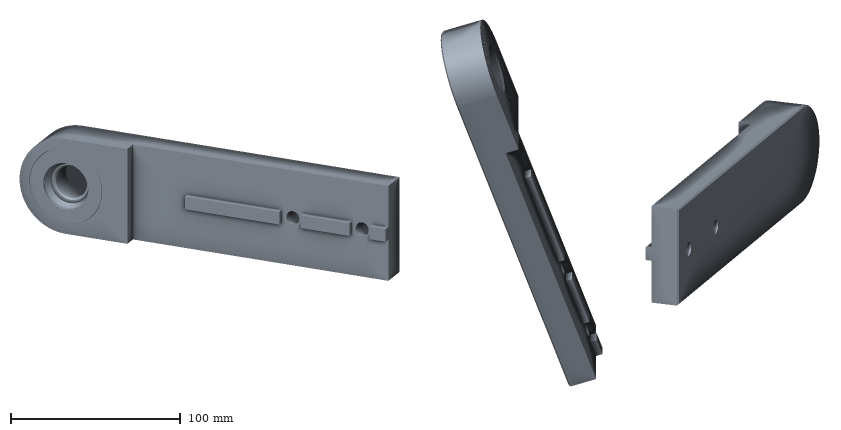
import cadquery as cq

length = 235.0
height = 60.0
head_depth = 25.0
blade_depth = 17.0
head_length = 69.8
back_chamfer = 1.0

end_radius = height / 2
tip_x = -end_radius
tail_x = tip_x + length
step_x = tip_x + head_length
step_y = head_depth - blade_depth

floor_depth = 22.5
socket_diameter = 47.0
sleeve_clearance = 0.2
sleeve_diameter = socket_diameter - 2 * sleeve_clearance
sleeve_bore = 29.1
cone_start_depth = 1.9
cone_mouth_diameter = 29.0
cone_end_diameter = 25.0
cone_end_depth = 5.6
bush_start_depth = 7.0
bush_bore = 20.0
bush_chamfer = 1.0

hole_diameter = 8.5
hole_distances = [173.2, 218.0]
key_height = 8.0
key_rise = 3.8
key_spans = [(105.0, 166.1), (180.0, 211.5), (224.7, length)]


def y_cylinder(diameter, y_start, y_end, x=0.0):
    """Solid cylinder parallel to Y between two Y positions."""
    return (
        cq.Workplane("XZ", origin=(x, y_start, 0))
        .circle(diameter / 2)
        .extrude(y_start - y_end)
    )


def make_arm():
    """Round-ended head and thinner blade with a common, chamfered back face."""
    outline = (
        cq.Workplane("XZ")
        .moveTo(0, end_radius)
        .lineTo(tail_x, end_radius)
        .lineTo(tail_x, -end_radius)
        .lineTo(0, -end_radius)
        .threePointArc((tip_x, 0), (0, end_radius))
        .close()
    )
    arm = outline.extrude(-head_depth).faces(">Y").chamfer(back_chamfer)
    blade_relief = cq.Workplane("XY").box(
        tail_x - step_x, step_y, height, centered=(False, False, True)
    ).translate((step_x, 0, 0))
    arm = arm.cut(blade_relief)
    arm = arm.cut(y_cylinder(socket_diameter, 0, floor_depth))
    for distance in hole_distances:
        arm = arm.cut(y_cylinder(hole_diameter, 0, head_depth, tip_x + distance))
    return arm


def make_sleeve():
    """Plain ring standing in the socket, flush with the head face."""
    sleeve = y_cylinder(sleeve_diameter, 0, floor_depth)
    return sleeve.cut(y_cylinder(sleeve_bore, 0, floor_depth))


def revolve_about_pivot(profile_points):
    """Ring turned about the pivot axis from (radius, depth) points."""
    profile = cq.Workplane("XY").polyline(profile_points).close()
    return profile.revolve(360, (0, 0, 0), (0, 1, 0))


def make_cone_ring():
    """Thin retaining ring in the sleeve bore with a conical opening."""
    outer = sleeve_bore / 2
    return revolve_about_pivot([
        (outer, cone_start_depth),
        (cone_mouth_diameter / 2, cone_start_depth),
        (cone_end_diameter / 2, cone_end_depth),
        (outer, cone_end_depth),
    ])


def make_bush():
    """Ring behind the cone ring, across a small gap, with a chamfered bore."""
    outer = sleeve_bore / 2
    bore = bush_bore / 2
    return revolve_about_pivot([
        (outer, bush_start_depth),
        (bore + bush_chamfer, bush_start_depth),
        (bore, bush_start_depth + bush_chamfer),
        (bore, floor_depth),
        (outer, floor_depth),
    ])


def make_key(start, end):
    """Rectangular bar on the blade face, spanning two distances from the tip."""
    key = cq.Workplane("XY").box(end - start, key_rise, key_height, centered=(False, False, True))
    return key.translate((tip_x + start, step_y - key_rise, 0))


arm = make_arm()
sleeve = make_sleeve()
cone_ring = make_cone_ring()
bush = make_bush()
keys = [make_key(start, end) for start, end in key_spans]

result = cq.Compound.makeCompound(
    [arm.val(), sleeve.val(), cone_ring.val(), bush.val(), *[key.val() for key in keys]]
)